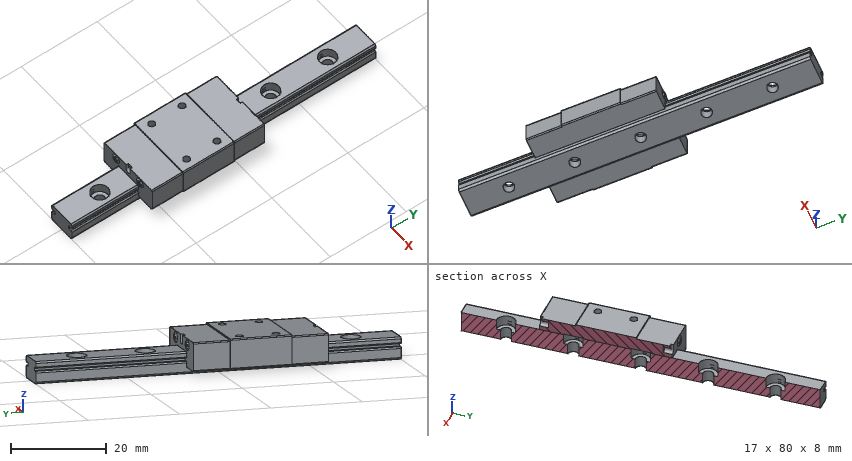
import cadquery as cq


rail_length = 80.0
rail_width = 7.0
rail_height = 4.8
rail_top_chamfer = 0.35
rail_bottom_chamfer = 0.45
groove_bottom_z = 2.7
groove_top_z = 3.35
groove_depth = 1.2
groove_lip_chamfer = 0.3

rail_hole_count = 5
rail_hole_pitch = 15.0
rail_hole_diameter = 2.4
rail_counterbore_diameter = 4.2
rail_counterbore_depth = 2.3

carriage_y = -7.75
carriage_bottom_z = 1.5
block_width = 17.0
block_length = 13.5
block_top_z = 8.0
end_width = 16.6
end_top_z = 7.7
end_length = 8.05
edge_chamfer = 0.25
carriage_length = block_length + 2 * end_length

mount_spacing_x = 12.0
mount_spacing_y = 8.0
mount_hole_diameter = 1.6
mount_hole_depth = 2.5
drill_tip_height = 0.5

fitting_z = 6.35
screw_spacing = 8.2
screw_head_diameter = 2.3
screw_head_height = 0.4
cross_recess_length = 1.3
cross_recess_width = 0.35
cross_recess_depth = 0.4
grease_slot_width = 1.3
grease_slot_depth = 0.55
grease_hole_depth = 2.0


def make_rail_bar():
    """Rail without its holes: a bar with a ball groove down each side."""
    side = rail_width / 2
    groove_floor = side - groove_depth
    lip = side - groove_lip_chamfer
    return (
        cq.Workplane("XZ")
        .moveTo(0, 0)
        .lineTo(side - rail_bottom_chamfer, 0)
        .lineTo(side, rail_bottom_chamfer)
        .lineTo(side, groove_bottom_z - groove_lip_chamfer)
        .lineTo(lip, groove_bottom_z)
        .lineTo(groove_floor, groove_bottom_z)
        .lineTo(groove_floor, groove_top_z)
        .lineTo(lip, groove_top_z)
        .lineTo(side, groove_top_z + groove_lip_chamfer)
        .lineTo(side, rail_height - rail_top_chamfer)
        .lineTo(side - rail_top_chamfer, rail_height)
        .lineTo(0, rail_height)
        .mirrorY()
        .extrude(rail_length / 2, both=True)
    )


def make_rail():
    """Rail with its row of counterbored mounting holes."""
    return (
        make_rail_bar()
        .faces(">Z")
        .workplane(origin=(0, 0, rail_height))
        .rarray(1, rail_hole_pitch, 1, rail_hole_count)
        .cboreHole(rail_hole_diameter, rail_counterbore_diameter, rail_counterbore_depth)
    )


def make_section(width, length, top_z, offset_y):
    """One piece of the carriage, its long edges chamfered, offset along Y from the carriage centre."""
    height = top_z - carriage_bottom_z
    return (
        cq.Workplane("XY")
        .box(width, length, height, centered=(True, True, False))
        .edges("|Y")
        .chamfer(edge_chamfer)
        .translate((0, carriage_y + offset_y, carriage_bottom_z))
    )


def make_carriage_body():
    """Steel block with an end piece on both sides."""
    body = make_section(block_width, block_length, block_top_z, 0)
    for direction in (-1, 1):
        offset_y = direction * (block_length + end_length) / 2
        body = body.union(make_section(end_width, end_length, end_top_z, offset_y))
    return body


def make_mount_holes():
    """Blind holes with a conical drill tip, two by two in the top of the block."""
    radius = mount_hole_diameter / 2
    hole = (
        cq.Workplane("XZ")
        .moveTo(0, 0)
        .lineTo(radius, 0)
        .lineTo(radius, -mount_hole_depth)
        .lineTo(0, -mount_hole_depth - drill_tip_height)
        .close()
        .revolve(360, (0, 0, 0), (0, 1, 0))
        .val()
    )
    return (
        cq.Workplane("XY", origin=(0, carriage_y, block_top_z))
        .rarray(mount_spacing_x, mount_spacing_y, 2, 2)
        .eachpoint(lambda place: hole.moved(place))
    )


def end_face(direction):
    """Workplane on an end face at fitting height, its normal pointing out of the carriage."""
    face_y = carriage_y + direction * carriage_length / 2
    return cq.Workplane(
        cq.Plane(origin=(0, face_y, fitting_z), xDir=(-direction, 0, 0), normal=(0, direction, 0))
    )


def make_screw_head():
    """Low domed screw head with a cross recess, standing on Z = 0."""
    head_radius = screw_head_diameter / 2
    sphere_radius = (head_radius**2 + screw_head_height**2) / (2 * screw_head_height)
    dome = (
        cq.Workplane("XY")
        .sphere(sphere_radius)
        .translate((0, 0, screw_head_height - sphere_radius))
        .intersect(cq.Workplane("XY").circle(head_radius).extrude(screw_head_height))
    )
    cross_floor = cq.Workplane("XY").workplane(offset=screw_head_height - cross_recess_depth)
    for length, width in (
        (cross_recess_length, cross_recess_width),
        (cross_recess_width, cross_recess_length),
    ):
        dome = dome.cut(cross_floor.rect(length, width).extrude(cross_recess_depth))
    return dome.val()


def add_end_details(carriage, direction):
    """Two screw heads and the grease port on one end face."""
    face = end_face(direction)
    screw_head = make_screw_head()
    heads = face.rarray(screw_spacing, 1, 2, 1).eachpoint(lambda place: screw_head.moved(place))
    slot_height = end_top_z - fitting_z
    slot = face.center(0, slot_height / 2).rect(grease_slot_width, slot_height).extrude(-grease_slot_depth)
    hole = face.circle(grease_slot_width / 2).extrude(-grease_hole_depth)
    return carriage.union(heads).cut(slot).cut(hole)


def make_carriage():
    """Carriage with its rail passage, mounting holes and end details."""
    carriage = make_carriage_body().cut(make_rail_bar()).cut(make_mount_holes())
    for direction in (-1, 1):
        carriage = add_end_details(carriage, direction)
    return carriage


rail = make_rail()
carriage = make_carriage()

result = cq.Compound.makeCompound([*rail.vals(), *carriage.vals()])